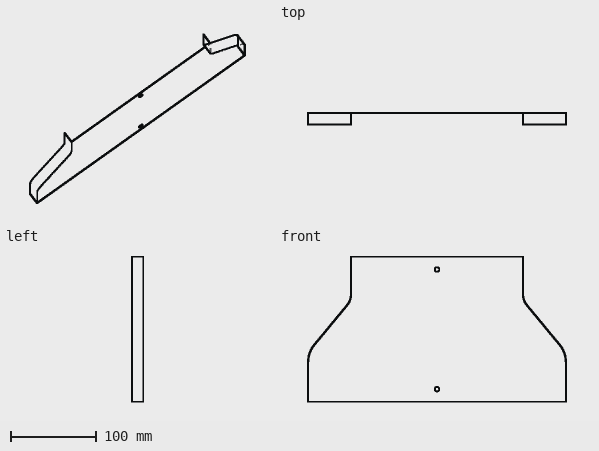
import cadquery as cq
import math

width = 302.0
depth = 14.0
height = 170.0
sheet = 0.75

top_width = 202.0
lower_bend_z = 58.3
upper_bend_z = 118.7
lower_outer_radius = 30.8
upper_outer_radius = 18.7

hole_diameter = 5.0
hole_edge_distance = 15.0

slope_angle = math.atan2((width - top_width) / 2, upper_bend_z - lower_bend_z)


def tapered_block(inset, length):
    """Block with the bell outline, its side walls moved inward by inset; the back is at Y = 0."""
    half_bottom = width / 2 - inset
    half_top = top_width / 2 - inset
    bend_drop = inset * math.tan(slope_angle / 2)
    lower_z = lower_bend_z - bend_drop
    upper_z = upper_bend_z - bend_drop
    right_side = [(half_bottom, 0), (half_bottom, lower_z), (half_top, upper_z), (half_top, height)]
    left_side = [(-x, z) for x, z in reversed(right_side)]
    block = cq.Workplane("XZ").polyline(right_side + left_side).close().extrude(length)

    bends = [
        (half_bottom, lower_z, lower_outer_radius - inset),
        (half_top, upper_z, upper_outer_radius + inset),
    ]
    for half_width, bend_z, radius in bends:
        for side in (-1, 1):
            corner = cq.selectors.NearestToPointSelector((side * half_width, -length / 2, bend_z))
            block = block.edges("|Y").edges(corner).fillet(radius)
    return block


outer_block = tapered_block(0, depth)
flange_space = tapered_block(sheet, depth - sheet).translate((0, -sheet, 0))
tray = outer_block.cut(flange_space)

hole_positions = [(0, hole_edge_distance), (0, height - hole_edge_distance)]
holes = cq.Workplane("XZ").pushPoints(hole_positions).circle(hole_diameter / 2).extrude(sheet)

result = tray.cut(holes)